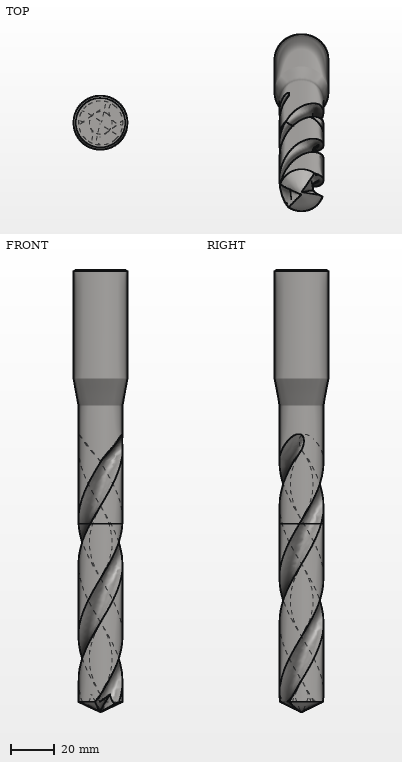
import cadquery as cq
import math

total_length = 204.0
shank_length = 50.0
taper_length = 12.5
head_length = 87.0
shank_bottom = total_length - shank_length
taper_bottom = shank_bottom - taper_length

shank_radius = 25.0 / 2
drill_radius = 20.4 / 2

chamfer_width = 1.1
chamfer_height = 0.65

point_angle = 129.0
point_height = drill_radius / math.tan(math.radians(point_angle / 2))

flute_count = 2
flute_spacing = 360.0 / flute_count
flute_pitch = 107.3
flute_section_radius = 6.6
flute_depth = 5.0
flute_center_radius = drill_radius - flute_depth + flute_section_radius
flute_bottom = -2.0
flute_bottom_angle = 90.0
flute_top = 116.4
flute_helix_height = flute_top - flute_bottom
flute_twist = 360.0 * flute_helix_height / flute_pitch

runout_elevation = 45.0
runout_length = 40.0

gash_angle = 148.0
gash_elevation = 55.0
gash_offset = 0.65
gash_start_height = 0.4
gash_length = 30.0
gash_width = 15.0


def revolve_profile(points):
    """Solid of revolution about Z from (radius, height) points."""
    return cq.Workplane("XZ").polyline(points).close().revolve(360, (0, 0, 0), (0, 1, 0))


def spread_around_axis(cutter):
    """One copy of a cutter for each flute."""
    return [cutter.rotate((0, 0, 0), (0, 0, 1), i * flute_spacing) for i in range(flute_count)]


def flute_section(height, angle):
    """Round flute section lying flat at a height, in a direction around the axis."""
    x = flute_center_radius * math.cos(math.radians(angle))
    y = flute_center_radius * math.sin(math.radians(angle))
    base = cq.Workplane("XY").workplane(offset=height)
    return base.pushPoints([(x, y)]).circle(flute_section_radius)


def make_flute_helix():
    """Helical part of one flute: the section twisted around the drill axis."""
    section = flute_section(flute_bottom, flute_bottom_angle)
    return section.twistExtrude(flute_helix_height, flute_twist)


def make_flute_runout():
    """Straight part of one flute, leaving the top of the helix tangentially and upward."""
    top_angle = flute_bottom_angle + flute_twist
    section = flute_section(flute_top, top_angle).wires().val()
    heading = math.radians(top_angle + 90)
    elevation = math.radians(runout_elevation)
    direction = cq.Vector(
        math.cos(elevation) * math.cos(heading),
        math.cos(elevation) * math.sin(heading),
        math.sin(elevation),
    )
    return cq.Workplane(cq.Solid.extrudeLinear(section, [], direction * runout_length))


def make_gash():
    """Box with its inner corner rising outward along a vertical rake face."""
    heading = math.radians(gash_angle)
    elevation = math.radians(gash_elevation)
    rake_normal = cq.Vector(math.sin(heading), -math.cos(heading), 0)
    corner_direction = cq.Vector(
        math.cos(elevation) * math.cos(heading),
        math.cos(elevation) * math.sin(heading),
        math.sin(elevation),
    )
    corner_start = rake_normal * gash_offset + cq.Vector(0, 0, gash_start_height)
    rake_plane = cq.Plane(origin=corner_start, xDir=corner_direction, normal=rake_normal)
    return (
        cq.Workplane(rake_plane)
        .center(0, -gash_width / 2)
        .rect(gash_length, gash_width)
        .extrude(gash_width)
    )


flute_helices = spread_around_axis(make_flute_helix())
flute_runouts = spread_around_axis(make_flute_runout())
gashes = spread_around_axis(make_gash())

head = revolve_profile([
    (0, 0),
    (drill_radius, point_height),
    (drill_radius, head_length),
    (0, head_length),
])
for cutter in flute_helices + gashes:
    head = head.cut(cutter)

holder = revolve_profile([
    (0, head_length),
    (drill_radius, head_length),
    (drill_radius, taper_bottom),
    (shank_radius, shank_bottom),
    (shank_radius, total_length - chamfer_height),
    (shank_radius - chamfer_width, total_length),
    (0, total_length),
])
for cutter in flute_helices + flute_runouts:
    holder = holder.cut(cutter)

result = cq.Compound.makeCompound([head.val(), holder.val()])